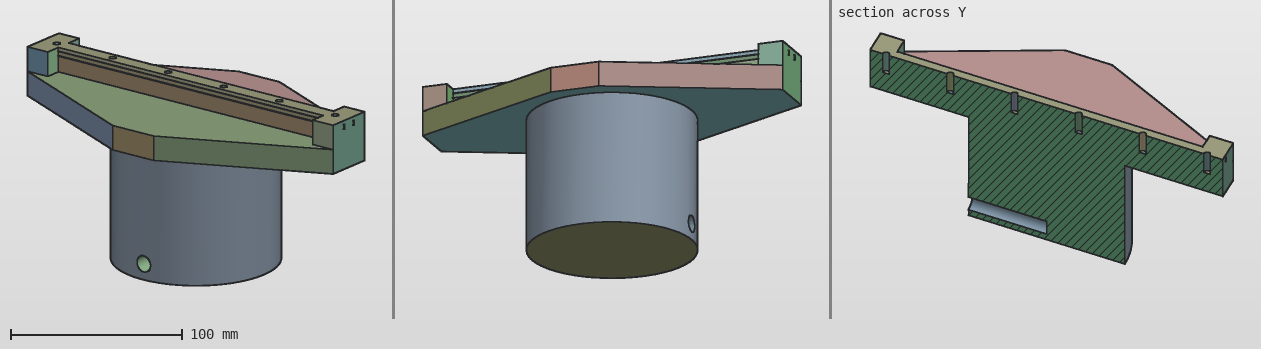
import cadquery as cq

length = 225.0
width = 120.0
height = 110.0

plate_thickness = 15.0
flat_length = 30.2
block_length = 15.0
rail_height = 15.0
rail_width = 10.0

base_diameter = 100.0
base_height = height - plate_thickness - rail_height
radial_hole_diameter = 10.0
radial_hole_height = 10.0

rail_hole_diameter = 4.0
rail_hole_count = 6
rail_hole_pitch = 41.0

groove_depth = 1.0
groove_height = 3.0
groove_below_top = 2.5

plate_top = base_height + plate_thickness


def make_base():
    return cq.Workplane("XY").circle(base_diameter / 2).extrude(base_height)


def make_plate():
    """Rectangle with its four corners cut back to leave short flats."""
    half_flat = flat_length / 2
    outline = [
        (-length / 2, -half_flat),
        (-half_flat, -width / 2),
        (half_flat, -width / 2),
        (length / 2, -half_flat),
        (length / 2, half_flat),
        (half_flat, width / 2),
        (-half_flat, width / 2),
        (-length / 2, half_flat),
    ]
    return (
        cq.Workplane("XY", origin=(0, 0, base_height))
        .polyline(outline)
        .close()
        .extrude(plate_thickness)
    )


def make_rail():
    """Narrow bar along X with a wide block at each end."""
    top_plane = cq.Workplane("XY", origin=(0, 0, plate_top))
    bar = top_plane.rect(length, rail_width).extrude(rail_height)
    block_offset = (length - block_length) / 2
    blocks = (
        top_plane.pushPoints([(-block_offset, 0), (block_offset, 0)])
        .rect(block_length, flat_length)
        .extrude(rail_height)
    )
    return bar.union(blocks)


def make_grooves():
    """Slots in the rail sides, running on through the end blocks."""
    groove_offset = (rail_width - groove_depth) / 2
    groove_center_height = height - groove_below_top - groove_height / 2
    return (
        cq.Workplane("XY", origin=(0, 0, groove_center_height))
        .pushPoints([(0, -groove_offset), (0, groove_offset)])
        .box(length, groove_depth, groove_height)
    )


def make_rail_holes():
    """Holes from the rail top down to the plate surface."""
    return (
        cq.Workplane("XY", origin=(0, 0, plate_top))
        .rarray(rail_hole_pitch, 2.2, rail_hole_count, 1)
        .circle(rail_hole_diameter / 2)
        .extrude(rail_height)
    )


def make_radial_hole(direction):
    """Hole from the base surface in the given direction, ending at the base axis."""
    return cq.Workplane(
        cq.Solid.makeCylinder(
            radial_hole_diameter / 2,
            base_diameter / 2,
            cq.Vector(0, 0, radial_hole_height),
            direction,
        )
    )


result = make_base().union(make_plate()).union(make_rail())
result = result.cut(make_grooves()).cut(make_rail_holes())
for hole_direction in (cq.Vector(-1, 0, 0), cq.Vector(0, -1, 0)):
    result = result.cut(make_radial_hole(hole_direction))